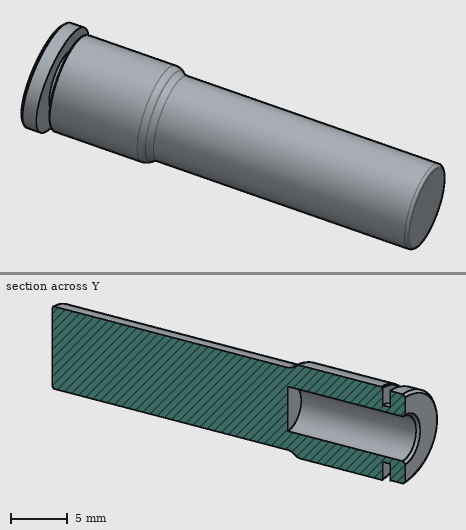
import cadquery as cq
import math

total_length = 36.9
flange_thickness = 1.6
body_start = 2.35
shoulder_start = 10.92

flange_width = 10.8
flange_height = 8.65
flange_chamfer = 0.25

neck_radius = 5.5 / 2
body_radius = 9.0 / 2
tube_radius = 7.97 / 2

body_chamfer = 0.1
shoulder_radius = 1.0
tube_fillet = 0.3

bore_radius = 4.25 / 2
bore_chamfer = 0.25

half_drop = (body_radius - tube_radius) / 2
half_run = math.sqrt(half_drop * (2 * shoulder_radius - half_drop))
shoulder_middle = shoulder_start + half_run
shoulder_end = shoulder_start + 2 * half_run

bore_depth = shoulder_end


def make_flange():
    """Oval disc on the YZ plane with a chamfered front rim."""
    disc = cq.Workplane("YZ").ellipse(flange_width / 2, flange_height / 2).extrude(flange_thickness)
    return disc.faces("<X").edges().chamfer(flange_chamfer)


def make_turned_body():
    """Neck, body, S-shaped shoulder and plug-in tube, revolved about the X axis."""
    profile = (
        cq.Workplane("XY")
        .moveTo(flange_thickness, 0)
        .lineTo(flange_thickness, neck_radius)
        .lineTo(body_start, neck_radius)
        .lineTo(body_start, body_radius - body_chamfer)
        .lineTo(body_start + body_chamfer, body_radius)
        .lineTo(shoulder_start, body_radius)
        .radiusArc((shoulder_middle, body_radius - half_drop), shoulder_radius)
        .radiusArc((shoulder_end, tube_radius), -shoulder_radius)
        .lineTo(total_length, tube_radius)
        .lineTo(total_length, 0)
        .close()
    )
    solid = profile.revolve(360, (0, 0, 0), (1, 0, 0))
    return solid.faces(">X").edges().fillet(tube_fillet)


def cut_bore(solid):
    """Flat-bottomed bore with a chamfered mouth."""
    bore = cq.Workplane("YZ").circle(bore_radius).extrude(bore_depth)
    mouth = cq.Solid.makeCone(
        bore_radius + bore_chamfer, bore_radius, bore_chamfer, dir=cq.Vector(1, 0, 0)
    )
    return solid.cut(bore).cut(cq.Workplane(mouth))


result = cut_bore(make_flange().union(make_turned_body()))